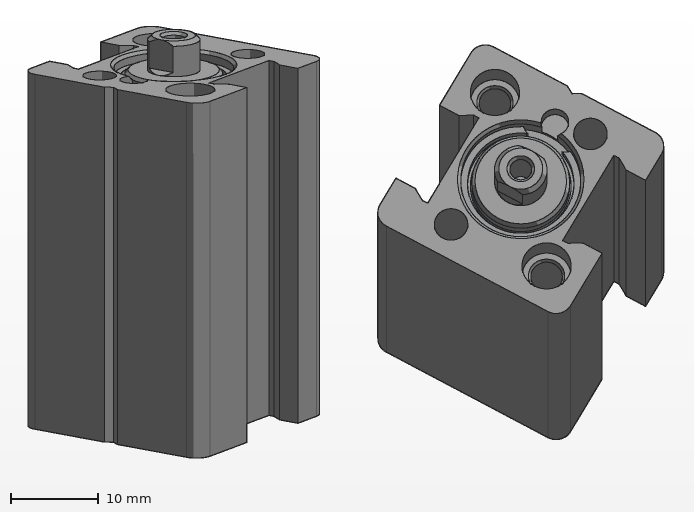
import cadquery as cq

WIDTH = 25.0
TOTAL_HEIGHT = 45.5
HOUSING_HEIGHT = 42.0
CORNER_RADIUS = 1.9

SLOT_FLOOR_X = 7.83
SLOT_LIP_LENGTH = 2.55
SLOT_RAMP_END = 3.95
SLOT_MOUTH_HIGH = 3.28
SLOT_MOUTH_LOW = -6.85
SLOT_UNDERCUT = 0.85

GROOVE_WIDTH = 1.8
GROOVE_DEPTH = 0.55

MOUNT_OFFSET = 7.75
MOUNT_HOLE_DIAMETER = 3.6
MOUNT_CHAMFER_DIAMETER = 4.15
COUNTERBORE_DIAMETER = 5.6
COUNTERBORE_DEPTH = 3.4
PLAIN_HOLE_X = 4.25
PLAIN_HOLE_Y = 8.7
PLAIN_HOLE_DIAMETER = 3.8

RECESS_DIAMETER = 13.7
RECESS_MOUTH_DIAMETER = 14.42
RECESS_DEPTH = 2.28
COLLAR_DIAMETER = 11.2
COLLAR_TOP_DIAMETER = 10.4
COLLAR_FOOT_DIAMETER = 11.5
COLLAR_DROP = 0.6
RELIEF_HOLE_DIAMETER = 3.15
RELIEF_HOLE_Y = -7.95
RELIEF_HOLE_DEPTH = 1.8

RING_INNER_DIAMETER = 12.15
RING_THICKNESS = 1.0
RING_GAP_INNER_WIDTH = 4.82
RING_GAP_INNER_Y = -5.65
RING_GAP_OUTER_WIDTH = 9.37
RING_GAP_OUTER_Y = -7.3

ROD_DIAMETER = 6.0
ROD_BOTTOM_Z = 22.75
ROD_CHAMFER = 0.5
ROD_FLATS_WIDTH = 5.0
SOCKET_DIAMETER = 2.45
SOCKET_MOUTH_DIAMETER = 3.15
SOCKET_DEPTH = 6.0

RECESS_FLOOR_Z = HOUSING_HEIGHT - RECESS_DEPTH
COLLAR_TOP_Z = HOUSING_HEIGHT - COLLAR_DROP


def cylinder(diameter, bottom_z, top_z, x=0.0, y=0.0):
    """Upright cylinder between two heights."""
    base = cq.Workplane("XY", origin=(x, y, bottom_z))
    return base.circle(diameter / 2).extrude(top_z - bottom_z)


def flared_cutter(diameter, mouth_diameter, bottom_z, top_z, x=0.0, y=0.0):
    """Hole-shaped cutter with a 45 degree chamfer opening out at its top."""
    radius = diameter / 2
    mouth_radius = mouth_diameter / 2
    profile = cq.Workplane("XZ").polyline([
        (0, bottom_z),
        (radius, bottom_z),
        (radius, top_z - (mouth_radius - radius)),
        (mouth_radius, top_z),
        (0, top_z),
    ]).close()
    return profile.revolve(360, (0, 0, 0), (0, 1, 0)).translate((x, y, 0))


def slot_cutter():
    """Undercut slot open on the -X side, running the full height."""
    edge_x = -WIDTH / 2
    lip_x = edge_x + SLOT_LIP_LENGTH
    ramp_x = edge_x + SLOT_RAMP_END
    inner_high = SLOT_MOUTH_HIGH + SLOT_UNDERCUT
    inner_low = SLOT_MOUTH_LOW - SLOT_UNDERCUT
    outline = cq.Workplane("XY").polyline([
        (edge_x, SLOT_MOUTH_HIGH),
        (lip_x, SLOT_MOUTH_HIGH),
        (ramp_x, inner_high),
        (-SLOT_FLOOR_X, inner_high),
        (-SLOT_FLOOR_X, inner_low),
        (ramp_x, inner_low),
        (lip_x, SLOT_MOUTH_LOW),
        (edge_x, SLOT_MOUTH_LOW),
    ]).close()
    return outline.extrude(HOUSING_HEIGHT)


def groove_cutter():
    """V groove in the -Y face."""
    face_y = -WIDTH / 2
    outline = cq.Workplane("XY").polyline([
        (-GROOVE_WIDTH / 2, face_y),
        (0, face_y + GROOVE_DEPTH),
        (GROOVE_WIDTH / 2, face_y),
    ]).close()
    return outline.extrude(HOUSING_HEIGHT)


def mounting_hole_cutter(x, y):
    """Through hole with a chamfered mouth at the floor of a counterbore."""
    seat_z = HOUSING_HEIGHT - COUNTERBORE_DEPTH
    hole = flared_cutter(MOUNT_HOLE_DIAMETER, MOUNT_CHAMFER_DIAMETER, 0, seat_z, x, y)
    return hole.union(cylinder(COUNTERBORE_DIAMETER, seat_z, HOUSING_HEIGHT, x, y))


def collar():
    """Boss that guides the rod, with a chamfered rim and a flared foot on the recess floor."""
    top_radius = COLLAR_TOP_DIAMETER / 2
    wall_radius = COLLAR_DIAMETER / 2
    foot_radius = COLLAR_FOOT_DIAMETER / 2
    profile = cq.Workplane("XZ").polyline([
        (0, RECESS_FLOOR_Z),
        (foot_radius, RECESS_FLOOR_Z),
        (wall_radius, RECESS_FLOOR_Z + foot_radius - wall_radius),
        (wall_radius, COLLAR_TOP_Z - (wall_radius - top_radius)),
        (top_radius, COLLAR_TOP_Z),
        (0, COLLAR_TOP_Z),
    ]).close()
    return profile.revolve(360, (0, 0, 0), (0, 1, 0))


def make_housing():
    housing = cq.Workplane("XY").rect(WIDTH, WIDTH).extrude(HOUSING_HEIGHT)
    housing = housing.edges("|Z").fillet(CORNER_RADIUS)
    housing = housing.cut(groove_cutter())

    for side, turn in ((1, 0), (-1, 180)):
        slot = slot_cutter().rotate((0, 0, 0), (0, 0, 1), turn)
        mount = mounting_hole_cutter(-side * MOUNT_OFFSET, side * MOUNT_OFFSET)
        plain = cylinder(PLAIN_HOLE_DIAMETER, 0, HOUSING_HEIGHT, side * PLAIN_HOLE_X, side * PLAIN_HOLE_Y)
        housing = housing.cut(slot).cut(mount).cut(plain)

    recess = flared_cutter(RECESS_DIAMETER, RECESS_MOUTH_DIAMETER, RECESS_FLOOR_Z, HOUSING_HEIGHT)
    relief_floor_z = HOUSING_HEIGHT - RELIEF_HOLE_DEPTH
    relief = cylinder(RELIEF_HOLE_DIAMETER, relief_floor_z, HOUSING_HEIGHT, y=RELIEF_HOLE_Y)
    housing = housing.cut(recess).cut(relief).union(collar())
    return housing.cut(cylinder(ROD_DIAMETER, ROD_BOTTOM_Z, HOUSING_HEIGHT))


def make_retaining_ring():
    """Flat ring on the recess floor, with a gap that widens towards -Y."""
    ring_top_z = RECESS_FLOOR_Z + RING_THICKNESS
    ring = cylinder(RECESS_DIAMETER, RECESS_FLOOR_Z, ring_top_z)
    ring = ring.cut(cylinder(RING_INNER_DIAMETER, RECESS_FLOOR_Z, ring_top_z))
    gap = cq.Workplane("XY", origin=(0, 0, RECESS_FLOOR_Z)).polyline([
        (-RING_GAP_INNER_WIDTH / 2, RING_GAP_INNER_Y),
        (-RING_GAP_OUTER_WIDTH / 2, RING_GAP_OUTER_Y),
        (RING_GAP_OUTER_WIDTH / 2, RING_GAP_OUTER_Y),
        (RING_GAP_INNER_WIDTH / 2, RING_GAP_INNER_Y),
    ]).close().extrude(RING_THICKNESS)
    return ring.cut(gap)


def flat_cutter():
    """Cutter for the +Y wrench flat, ending in a 45 degree run-out at the collar."""
    flat_y = ROD_FLATS_WIDTH / 2
    rod_radius = ROD_DIAMETER / 2
    profile = cq.Workplane("YZ").polyline([
        (flat_y, TOTAL_HEIGHT),
        (flat_y, COLLAR_TOP_Z + rod_radius - flat_y),
        (rod_radius, COLLAR_TOP_Z),
        (rod_radius, TOTAL_HEIGHT),
    ]).close()
    return profile.extrude(rod_radius, both=True)


def make_rod():
    rod = cylinder(ROD_DIAMETER, ROD_BOTTOM_Z, TOTAL_HEIGHT)
    rod = rod.faces(">Z").chamfer(ROD_CHAMFER)
    for turn in (0, 180):
        rod = rod.cut(flat_cutter().rotate((0, 0, 0), (0, 0, 1), turn))
    socket_bottom_z = TOTAL_HEIGHT - SOCKET_DEPTH
    return rod.cut(flared_cutter(SOCKET_DIAMETER, SOCKET_MOUTH_DIAMETER, socket_bottom_z, TOTAL_HEIGHT))


housing = make_housing()
retaining_ring = make_retaining_ring()
rod = make_rod()

result = cq.Compound.makeCompound([housing.val(), retaining_ring.val(), rod.val()])